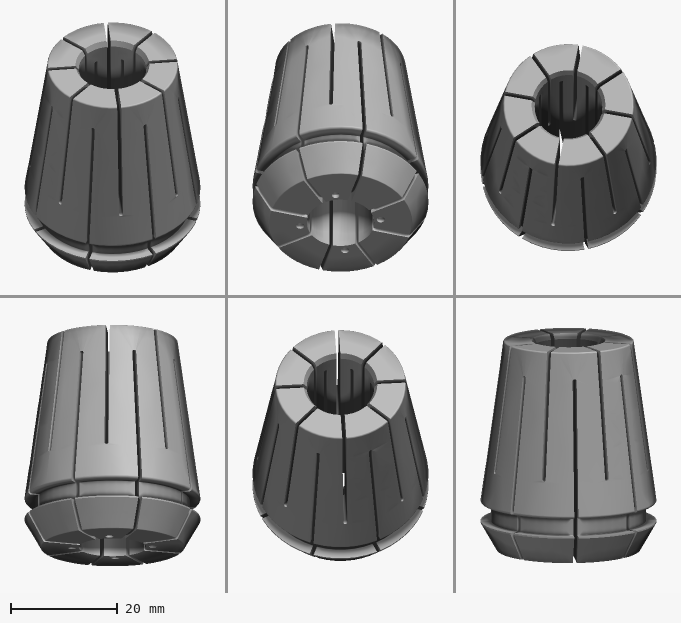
import cadquery as cq
import math

length = 40.0
outer_radius = 33.0 / 2
bore_radius = 12.7 / 2

taper_angle = math.radians(8.0)
lip_bottom_z = 9.0
lip_fillet = 0.5
top_rim_fillet = 0.3

lead_in_depth = 1.0
lead_in_angle = math.radians(30.0)

flange_top_z = 5.55
groove_radius = 14.55
groove_fillet = 0.1

flange_thickness = 0.3
nose_angle = math.radians(30.0)
nose_fillet = 0.2

slots_per_set = 8
slot_pitch = 360 / slots_per_set
slot_width = 0.75
lower_slot_axis_z = 36.5
lower_slot_slope = -taper_angle
upper_slot_axis_z = 14.05
upper_slot_slope = taper_angle

coolant_count = 4
coolant_diameter = 1.5
coolant_circle_radius = 7.6
coolant_start_angle = slot_pitch + slot_pitch / 2

outermost_edge = cq.selectors.RadiusNthSelector(-1)
innermost_edge = cq.selectors.RadiusNthSelector(0)


def turned_body():
    """Ring about Z with the taper, the flange, the nose cone and the lead-in."""
    nose_top_z = flange_top_z - flange_thickness
    nose_radius = outer_radius - nose_top_z * math.tan(nose_angle)
    lip_overhang = lip_fillet * ((1 + math.sin(taper_angle)) / math.cos(taper_angle) - 1)
    lip_radius = outer_radius + lip_overhang
    top_radius = lip_radius - (length - lip_bottom_z) * math.tan(taper_angle)
    lead_in_radius = bore_radius + lead_in_depth * math.tan(lead_in_angle)

    body = (
        cq.Workplane("XZ")
        .moveTo(bore_radius, 0)
        .lineTo(nose_radius, 0)
        .lineTo(outer_radius, nose_top_z)
        .lineTo(outer_radius, lip_bottom_z)
        .lineTo(lip_radius, lip_bottom_z)
        .lineTo(top_radius, length)
        .lineTo(lead_in_radius, length)
        .lineTo(bore_radius, length - lead_in_depth)
        .close()
        .revolve(360, (0, 0, 0), (0, 1, 0))
    )
    body = body.cut(groove_cutter())
    body = body.edges(outermost_edge).fillet(lip_fillet)
    body = body.faces(">Z").edges(outermost_edge).fillet(top_rim_fillet)
    return body.faces("<Z").edges(outermost_edge).fillet(nose_fillet)


def groove_cutter():
    """Ring that clears the extraction groove, rounded at the groove floor."""
    return (
        cq.Workplane("XY", origin=(0, 0, flange_top_z))
        .circle(2 * outer_radius)
        .circle(groove_radius)
        .extrude(lip_bottom_z - flange_top_z)
        .edges(innermost_edge)
        .fillet(groove_fillet)
    )


def shoulder_height(axis_z, slope, radius):
    """Height of a slot's shoulder, where its round end starts, at a given radius."""
    return axis_z + radius * math.tan(slope)


def radial_slot(axis_z, slope, open_z, angle):
    """Cutter running outward from the axis, open at open_z, with a sloping round end."""
    reach = 1.2 * outer_radius
    slab = (
        cq.Workplane("XZ")
        .moveTo(0, open_z)
        .lineTo(0, axis_z)
        .lineTo(reach, shoulder_height(axis_z, slope, reach))
        .lineTo(reach, open_z)
        .close()
        .extrude(slot_width / 2, both=True)
    )
    round_end = cq.Solid.makeCylinder(
        slot_width / 2,
        reach,
        cq.Vector(0, 0, axis_z),
        cq.Vector(math.cos(slope), 0, math.sin(slope)),
    )
    return slab.union(round_end).rotate((0, 0, 0), (0, 0, 1), angle)


def coolant_holes():
    """Blind holes on a circle, lined up with every second upper slot."""
    outer_reach = coolant_circle_radius + coolant_diameter / 2
    depth = shoulder_height(upper_slot_axis_z, upper_slot_slope, outer_reach)
    return (
        cq.Workplane("XY")
        .polarArray(coolant_circle_radius, coolant_start_angle, 360, coolant_count)
        .circle(coolant_diameter / 2)
        .extrude(depth)
    )


result = turned_body()
for index in range(slots_per_set):
    lower_angle = index * slot_pitch
    upper_angle = lower_angle + slot_pitch / 2
    result = result.cut(radial_slot(lower_slot_axis_z, lower_slot_slope, 0, lower_angle))
    result = result.cut(radial_slot(upper_slot_axis_z, upper_slot_slope, length, upper_angle))
result = result.cut(coolant_holes())